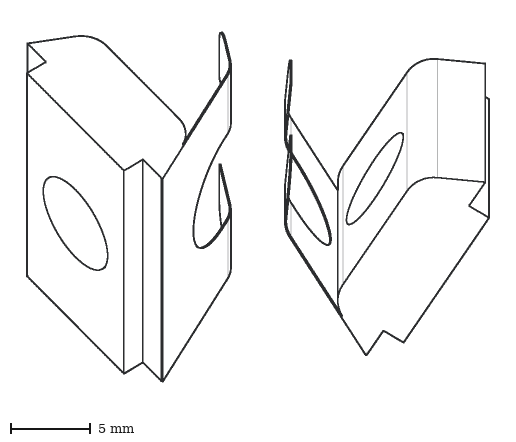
import cadquery as cq
import math

length = 20.0
tongue_width = 10.0
tongue_height = 1.5
wing_width = 13.8
body_height = 5.32
shoulder_radius = 2.0
flank_angle = math.radians(63.4)
hole_diameter = 6.65

leaf_thickness = 0.1
leaf_top = 12.3
bend_height = 10.4
bend_inner_radius = 1.9
tip_angle = math.radians(27.0)
tip_corner_radius = 2.0
notch_radius = 4.25
notch_center_height = 9.25


def along(point, direction, distance):
    """Point reached by moving a distance from a point in a unit direction."""
    return (point[0] + direction[0] * distance, point[1] + direction[1] * distance)


def leaning_left(angle):
    """Unit direction that rises toward -X at an angle above the X axis."""
    return (-math.cos(angle), math.sin(angle))


def outward(angle):
    """Unit normal on the +X, +Y side of a stretch that leans left."""
    return (math.sin(angle), math.cos(angle))


def make_body():
    half_wing = wing_width / 2
    half_tongue = tongue_width / 2
    half_top = half_wing - (body_height - tongue_height) / math.tan(flank_angle)
    body = (
        cq.Workplane("XY")
        .moveTo(-half_tongue, 0)
        .lineTo(half_tongue, 0)
        .lineTo(half_tongue, tongue_height)
        .lineTo(half_wing, tongue_height)
        .lineTo(half_top, body_height)
        .lineTo(-half_top, body_height)
        .lineTo(-half_wing, tongue_height)
        .lineTo(-half_tongue, tongue_height)
        .close()
        .extrude(length / 2, both=True)
    )
    body = body.faces(">Y").edges("|Z").fillet(shoulder_radius)
    hole = cq.Workplane("XZ").circle(hole_diameter / 2).extrude(-body_height)
    return body.cut(hole)


flank_foot = (wing_width / 2, tongue_height)
arm_direction = leaning_left(flank_angle)
arm_normal = outward(flank_angle)


def make_leaf_strip():
    tip_direction = leaning_left(tip_angle)
    tip_normal = outward(tip_angle)
    half_bend = (flank_angle - tip_angle) / 2
    bend_normal = outward((flank_angle + tip_angle) / 2)

    inner_bend = along(flank_foot, arm_direction, (bend_height - tongue_height) / arm_direction[1])
    outer_bend = along(inner_bend, bend_normal, leaf_thickness / math.cos(half_bend))
    outer_tip = along(outer_bend, tip_direction, (leaf_top - outer_bend[1]) / tip_direction[1])
    inner_tip = along(outer_tip, tip_normal, -leaf_thickness)
    outer_foot = along(flank_foot, arm_normal, leaf_thickness)

    strip = (
        cq.Workplane("XY")
        .polyline([flank_foot, outer_foot, outer_bend, outer_tip, inner_tip, inner_bend])
        .close()
        .extrude(length / 2, both=True)
    )
    for bend, radius in (
        (inner_bend, bend_inner_radius),
        (outer_bend, bend_inner_radius + leaf_thickness),
    ):
        strip = strip.edges(cq.selectors.NearestToPointSelector((*bend, 0))).fillet(radius)

    for end in (-1, 1):
        corner = (*along(outer_tip, tip_normal, -leaf_thickness / 2), end * length / 2)
        strip = strip.edges(cq.selectors.NearestToPointSelector(corner)).fillet(tip_corner_radius)
    return strip


def make_notch():
    """U-shaped cutter square to the leaf arm, open toward the tip."""
    center = along(flank_foot, arm_direction, (notch_center_height - tongue_height) / arm_direction[1])
    arm_plane = cq.Plane(origin=(*center, 0), xDir=(*arm_direction, 0), normal=(*arm_normal, 0))
    reach = leaf_top
    return (
        cq.Workplane(arm_plane)
        .moveTo(reach, notch_radius)
        .lineTo(0, notch_radius)
        .threePointArc((-notch_radius, 0), (0, -notch_radius))
        .lineTo(reach, -notch_radius)
        .close()
        .extrude(reach, both=True)
    )


leaf = make_leaf_strip().cut(make_notch())
result = make_body().union(leaf)